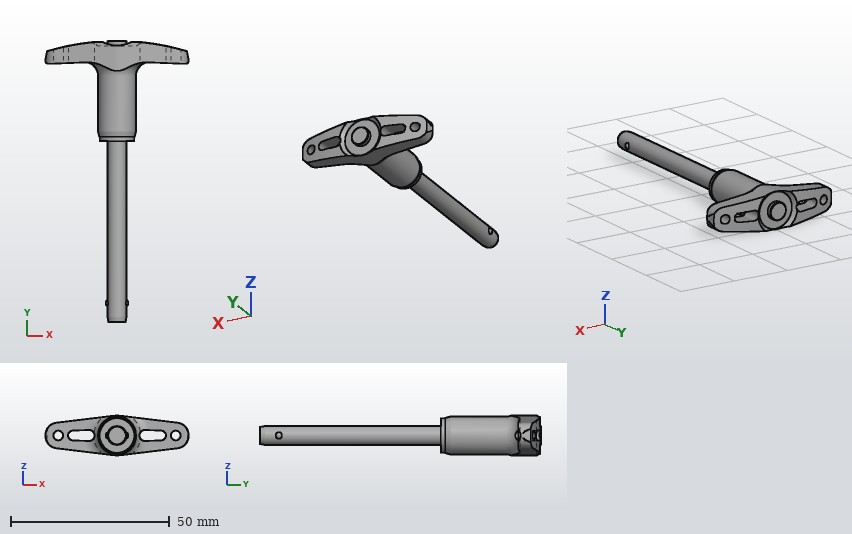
import cadquery as cq
import math


OVERALL_LENGTH = 88.6
HANDLE_LENGTH = 45.2
HANDLE_WIDTH = 12.64

SHANK_RADIUS = 3.0
TIP_RADIUS = 2.75
TIP_LENGTH = 1.6
BALL_RADIUS = 1.1
BALL_REACH = 3.6
BALL_SETBACK = 6.0

COLLAR_RADIUS = 6.0
RIM_RADIUS = 5.45
RIM_LENGTH = 1.35
TAPER_RADIUS = 5.6
TAPER_TOP = 3.0
COLLAR_TOP = 20.6
BLEND_RADIUS = 4.2

END_RADIUS = 4.1
CENTRE_ARC_HALF = 0.95
CENTRE_ARC_RISE = 0.06
CROWN_TOP = 31.65
CROWN_RADIUS = 75.0
CROWN_EDGE_RADIUS = 22.1
CORNER_RADIUS = 22.85
UNDERSIDE_ANGLE = 2.5
END_FILLET = 1.1

HOLE_DIAMETER = 3.0
SLOT_INNER_X = 8.8
SLOT_INNER_RADIUS = 1.7
SLOT_OUTER_X = 13.9
SLOT_OUTER_RADIUS = 1.5

BUTTON_TOP = 31.6
BUTTON_RADIUS = 3.0
BUTTON_CHAMFER = 0.2
DISH_FLOOR = 30.0
DISH_FLOOR_RADIUS = 6.1
DISH_ANGLE = 45.0

TIP_Y = BUTTON_TOP - OVERALL_LENGTH
HALF_LENGTH = HANDLE_LENGTH / 2
HALF_WIDTH = HANDLE_WIDTH / 2
END_CENTRE_X = HALF_LENGTH - END_RADIUS
SIDES = (-1, 1)


def revolve_about_shaft(profile):
    """Revolve a closed (radius, Y) profile about the shaft axis."""
    return profile.close().revolve(360, (0, 0, 0), (0, 1, 0))


def prism_along_y(sketch, low, high):
    """Extrude an XZ sketch from Y = low to Y = high."""
    return sketch.extrude(-(high - low)).translate((0, low, 0))


def tapered_link(x1, radius1, x2, radius2):
    """Outline around two circles centred on the X axis, joined by their common tangents."""
    lean = (radius1 - radius2) / (x2 - x1)
    rise = math.sqrt(1 - lean**2)
    start = (x1 + radius1 * lean, radius1 * rise)
    end = (x2 + radius2 * lean, radius2 * rise)
    return (
        cq.Workplane("XZ")
        .moveTo(*start)
        .lineTo(*end)
        .threePointArc((x2 + radius2, 0), (end[0], -end[1]))
        .lineTo(start[0], -start[1])
        .threePointArc((x1 - radius1, 0), start)
        .close()
    )


def handle_outline():
    """Lozenge seen along the shaft: gently rounded at the centre, straight tapers, rounded ends."""
    nose_z = HALF_WIDTH - CENTRE_ARC_RISE
    across = END_CENTRE_X - CENTRE_ARC_HALF
    chord_angle = math.atan2(nose_z, across)
    tangent_angle = math.asin(END_RADIUS / math.hypot(across, nose_z))
    taper = chord_angle - tangent_angle
    tangent_x = END_CENTRE_X + END_RADIUS * math.sin(taper)
    tangent_z = END_RADIUS * math.cos(taper)
    sketch = (
        cq.Workplane("XZ")
        .moveTo(-CENTRE_ARC_HALF, nose_z)
        .threePointArc((0, HALF_WIDTH), (CENTRE_ARC_HALF, nose_z))
        .lineTo(tangent_x, tangent_z)
        .threePointArc((HALF_LENGTH, 0), (tangent_x, -tangent_z))
        .lineTo(CENTRE_ARC_HALF, -nose_z)
        .threePointArc((0, -HALF_WIDTH), (-CENTRE_ARC_HALF, -nose_z))
        .lineTo(-tangent_x, -tangent_z)
        .threePointArc((-HALF_LENGTH, 0), (-tangent_x, tangent_z))
        .close()
    )
    return prism_along_y(sketch, 0, CROWN_TOP)


def handle_envelope():
    """Revolved bulk of the handle: domed crown, drafted rim, sloped underside and collar blend."""
    slope = math.radians(UNDERSIDE_ANGLE)
    blend_middle = math.radians(45)
    blend_centre = COLLAR_RADIUS + BLEND_RADIUS
    crown_edge = CROWN_TOP - CROWN_RADIUS + math.sqrt(CROWN_RADIUS**2 - CROWN_EDGE_RADIUS**2)
    underside_drop = (CORNER_RADIUS - blend_centre) * math.tan(slope)
    corner_y = COLLAR_TOP + BLEND_RADIUS / math.cos(slope) - underside_drop
    profile = (
        cq.Workplane("XY")
        .moveTo(0, COLLAR_TOP)
        .lineTo(COLLAR_RADIUS, COLLAR_TOP)
        .threePointArc(
            (
                blend_centre - BLEND_RADIUS * math.cos(blend_middle),
                COLLAR_TOP + BLEND_RADIUS * math.sin(blend_middle),
            ),
            (
                blend_centre + BLEND_RADIUS * math.sin(slope),
                COLLAR_TOP + BLEND_RADIUS * math.cos(slope),
            ),
        )
        .lineTo(CORNER_RADIUS, corner_y)
        .lineTo(CROWN_EDGE_RADIUS, crown_edge)
        .radiusArc((0, CROWN_TOP), -CROWN_RADIUS)
    )
    envelope = revolve_about_shaft(profile)
    lower_corner = cq.selectors.RadiusNthSelector(-2)
    return envelope.edges(lower_corner).fillet(END_FILLET)


def dish():
    """Flat-floored conical recess around the button."""
    depth = CROWN_TOP - DISH_FLOOR
    mouth_radius = DISH_FLOOR_RADIUS + depth * math.tan(math.radians(DISH_ANGLE))
    profile = (
        cq.Workplane("XY")
        .moveTo(0, DISH_FLOOR)
        .lineTo(DISH_FLOOR_RADIUS, DISH_FLOOR)
        .lineTo(mouth_radius, CROWN_TOP)
        .lineTo(0, CROWN_TOP)
    )
    return revolve_about_shaft(profile)


def arm_openings(side):
    """Round hole and tapered slot through one arm; side is -1 or 1 along X."""
    hole = cq.Workplane("XZ").center(END_CENTRE_X, 0).circle(HOLE_DIAMETER / 2)
    slot = tapered_link(SLOT_INNER_X, SLOT_INNER_RADIUS, SLOT_OUTER_X, SLOT_OUTER_RADIUS)
    openings = prism_along_y(hole, 0, CROWN_TOP).union(prism_along_y(slot, 0, CROWN_TOP))
    return openings if side > 0 else openings.mirror("YZ")


def handle():
    """Finished handle: lozenge-shaped bar with arm openings and the button recess."""
    bar = handle_envelope().intersect(handle_outline())
    for side in SIDES:
        bar = bar.cut(arm_openings(side))
    return bar.cut(dish())


def turned_body():
    """Shank, collar and button as one turned profile on the shaft axis."""
    profile = (
        cq.Workplane("XY")
        .moveTo(0, TIP_Y)
        .lineTo(TIP_RADIUS, TIP_Y)
        .lineTo(SHANK_RADIUS, TIP_Y + TIP_LENGTH)
        .lineTo(SHANK_RADIUS, 0)
        .lineTo(RIM_RADIUS, 0)
        .lineTo(RIM_RADIUS, RIM_LENGTH)
        .lineTo(TAPER_RADIUS, RIM_LENGTH)
        .lineTo(COLLAR_RADIUS, TAPER_TOP)
        .lineTo(COLLAR_RADIUS, COLLAR_TOP)
        .lineTo(BUTTON_RADIUS, COLLAR_TOP)
        .lineTo(BUTTON_RADIUS, BUTTON_TOP - BUTTON_CHAMFER)
        .lineTo(BUTTON_RADIUS - BUTTON_CHAMFER, BUTTON_TOP)
        .lineTo(0, BUTTON_TOP)
    )
    return revolve_about_shaft(profile)


def locking_ball(side):
    """Ball set into the shank so that only a cap stands proud; side is -1 or 1 along X."""
    centre_x = side * (BALL_REACH - BALL_RADIUS)
    return cq.Workplane("XY").sphere(BALL_RADIUS).translate((centre_x, TIP_Y + BALL_SETBACK, 0))


result = turned_body().union(handle())
for ball_side in SIDES:
    result = result.union(locking_ball(ball_side))